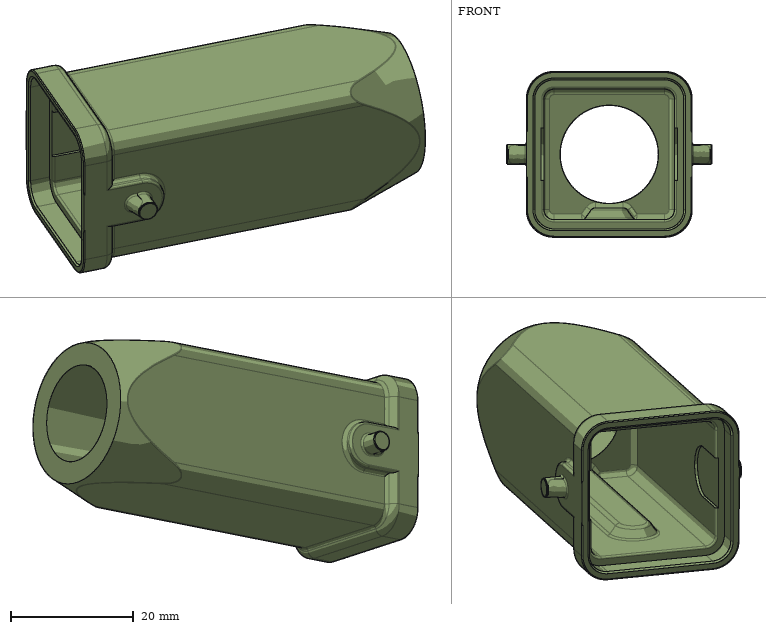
import cadquery as cq
length = 60.0
overall_width = 33.4
body_half = 12.0
flange_half = 13.5
corner_center = 9.0

flange_height = 5.35
flange_round = 1.3
flange_edge = 0.2
root_round = 0.6
mouth_half = 12.1
mouth_depth = 3.6
rim_chamfer = 0.3

cavity_half = 10.6
cavity_end = 45.0
cavity_entry_round = 0.35
cavity_floor_round = 0.9
cable_hole_radius = 8.0

cone_end_radius = 11.65
cone_start = 42.0
cone_start_radius = 17.4
cone_edge_round = 0.3

ear_center = 10.2
ear_half = 3.85
ear_edge_round = 0.4
recess_half = 4.25
recess_floor = 11.1
pin_center = 10.0
pin_radius = 1.6
pin_tip = overall_width / 2
pin_tip_chamfer = 0.2
pin_root_round = 0.3
ramp_radius = 1.5
ramp_shift = 1.25

ridge_start = 14.4
ridge_top = -8.7
ridge_top_half = 2.7
ridge_base_half = 4.1
ridge_top_round = 0.9
ridge_base_round = 0.6

tolerance = 0.005


def square_prism(half, start, end):
    """Rounded square prism along Y, its corners concentric with all the others."""
    prism = cq.Workplane("XZ", origin=(0, start, 0)).rect(2 * half, 2 * half).extrude(start - end)
    return prism.edges("|Y").fillet(half - corner_center)


def ear_block(half, inner, outer):
    """U-shaped block between two X planes, from the mouth to a round end."""
    return (
        cq.Workplane("YZ", origin=(inner, 0, 0))
        .moveTo(0, -half)
        .lineTo(ear_center, -half)
        .threePointArc((ear_center + half, 0), (ear_center, half))
        .lineTo(0, half)
        .close()
        .extrude(outer - inner)
    )


def both_sides(shape):
    return shape.union(shape.mirror("YZ"))


def make_body():
    """Square bar with its closed end trimmed by a cone."""
    cone = (
        cq.Workplane("XY")
        .polyline([
            (0, 0),
            (cone_start_radius, 0),
            (cone_start_radius, cone_start),
            (cone_end_radius, length),
            (0, length),
        ])
        .close()
        .revolve(360, (0, 0, 0), (0, 1, 0))
    )
    body = square_prism(body_half, 0, length).intersect(cone)
    cut_edges = cq.selectors.BoxSelector(
        (-overall_width, cone_start, -overall_width),
        (overall_width, length - cone_edge_round, overall_width),
    )
    return body.edges(cut_edges).edges("not |Y").fillet(cone_edge_round)


def make_flange():
    flange = square_prism(flange_half, 0, flange_height)
    flange = flange.faces(">Y").edges().fillet(flange_round)
    return flange.faces("<Y").edges().chamfer(flange_edge)


def make_ear():
    ear = ear_block(ear_half, corner_center, flange_half)
    return ear.faces(">X").edges("not(<Y)").fillet(ear_edge_round)


def make_pin():
    """Round pin with a ramp on its mouth side."""
    pin = (
        cq.Workplane("YZ", origin=(corner_center, pin_center, 0))
        .circle(pin_radius)
        .extrude(pin_tip - corner_center)
        .faces(">X")
        .chamfer(pin_tip_chamfer)
    )
    ramp = (
        cq.Workplane("YZ", origin=(flange_half, pin_center - ramp_shift, 0))
        .circle(ramp_radius)
        .workplane(offset=pin_tip - flange_half)
        .center(ramp_shift, 0)
        .circle(ramp_radius)
        .loft()
    )
    return pin.union(ramp)


def make_ridge():
    """Trapezoid ridge with a conical nose, reaching below the cavity's lower wall."""
    right_side = [
        (ridge_top_half, ridge_top),
        (ridge_base_half, -cavity_half),
        (ridge_base_half, -body_half),
    ]
    left_side = [(-x, z) for x, z in reversed(right_side)]
    start_plane = cq.Workplane("XZ", origin=(0, ridge_start, 0))
    nose = (
        start_plane.polyline(right_side + [(0, -body_half), (0, ridge_top)])
        .close()
        .revolve(360, (0, 0, 0), (0, 1, 0))
    )
    bar = start_plane.polyline(right_side + left_side).close().extrude(ridge_start - length)
    top_band = cq.selectors.BoxSelector(
        (-ridge_top_half - tolerance, 0, ridge_top - tolerance),
        (ridge_top_half + tolerance, length - tolerance, ridge_top + tolerance),
    )
    ridge = nose.union(bar).clean()
    return ridge.edges(top_band).fillet(ridge_top_round)


def make_cavity():
    """Inner void with the ridge left standing in it."""
    void = square_prism(cavity_half, mouth_depth, cavity_end).cut(make_ridge())
    ridge_foot = cq.selectors.BoxSelector(
        (-ridge_base_half - tolerance, mouth_depth + tolerance, -cavity_half - tolerance),
        (ridge_base_half + tolerance, cavity_end + tolerance, -cavity_half + tolerance),
        boundingbox=True,
    )
    void = void.edges(ridge_foot).fillet(ridge_base_round)
    return void.faces(">Y").edges().fillet(cavity_floor_round)


def make_outside():
    """Body, flange, ears and pins as one solid with blended roots."""
    shell = make_body().union(make_flange()).union(both_sides(make_ear()))
    reach = body_half + tolerance
    blend_roots = cq.selectors.BoxSelector(
        (-reach, flange_height - tolerance, -reach),
        (reach, ear_center + ear_half + tolerance, reach),
        boundingbox=True,
    )
    shell = shell.edges(blend_roots).fillet(root_round)
    shell = shell.union(both_sides(make_pin()))
    pin_reach = pin_radius + tolerance
    for side in (-1, 1):
        pin_root = cq.selectors.BoxSelector(
            (side * flange_half - tolerance, flange_height, -pin_reach),
            (side * flange_half + tolerance, pin_center + pin_reach, pin_reach),
            boundingbox=True,
        )
        shell = shell.edges(pin_root).fillet(pin_root_round)
    return shell


def round_cavity_entry(hood):
    reach = cavity_half + tolerance
    entry_edges = cq.selectors.BoxSelector(
        (-reach, mouth_depth - tolerance, -reach),
        (reach, mouth_depth + tolerance, reach),
        boundingbox=True,
    )
    return hood.edges(entry_edges).fillet(cavity_entry_round)


def chamfer_rim(hood):
    reach = mouth_half + tolerance
    rim_edges = cq.selectors.BoxSelector(
        (-reach, -tolerance, -reach),
        (reach, tolerance, reach),
        boundingbox=True,
    )
    return hood.edges(rim_edges).chamfer(rim_chamfer)


hood = make_outside().cut(square_prism(mouth_half, 0, mouth_depth)).cut(make_cavity())
hood = round_cavity_entry(hood)
hood = chamfer_rim(hood)
hood = hood.cut(both_sides(ear_block(recess_half, 0, recess_floor)))
cable_hole = cq.Workplane("XZ").circle(cable_hole_radius).extrude(-length)
result = hood.cut(cable_hole)